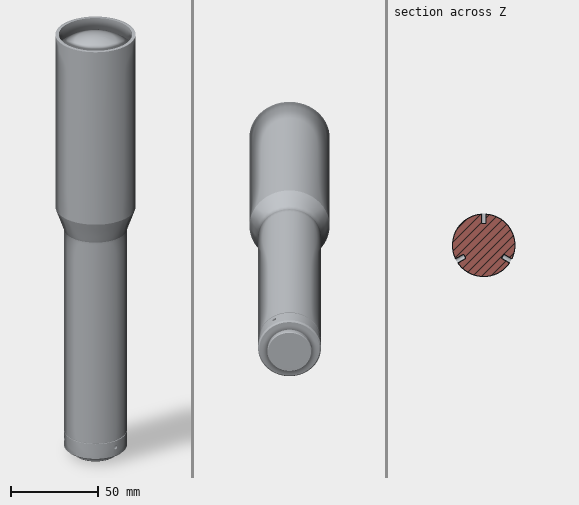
import cadquery as cq
import math

total_length = 267.0
cone_top_z = 156.8
cone_bottom_z = 142.9
groove_bottom_z = 14.0
collar_bottom_z = 3.7

head_radius = 46.0 / 2
tube_radius = 36.0 / 2
bore_radius = 42.0 / 2
bore_depth = 8.3
groove_width = 0.5
groove_depth = 0.5
collar_chamfer = 0.8

stub_radius = 25.5 / 2
stub_small_radius = 24.5 / 2
stub_chamfer = stub_radius - stub_small_radius
neck_height = 0.5

screw_hole_diameter = 2.5
screw_hole_depth = 5.3
screw_hole_z = 10.0
screw_hole_angles = (90, 210, 330)

lens_apex_depth = 0.8
lens_height = bore_depth - lens_apex_depth
bore_floor_z = total_length - bore_depth


def make_housing_blank():
    """Turned housing: stub, grooved tube, cone and a wider head with a shallow bore."""
    groove_radius = tube_radius - groove_depth
    groove_top_z = groove_bottom_z + groove_width
    neck_bottom_z = collar_bottom_z - neck_height
    return (
        cq.Workplane("XZ")
        .moveTo(0, 0)
        .lineTo(stub_small_radius, 0)
        .lineTo(stub_radius, stub_chamfer)
        .lineTo(stub_radius, neck_bottom_z)
        .lineTo(stub_small_radius, neck_bottom_z)
        .lineTo(stub_small_radius, collar_bottom_z)
        .lineTo(tube_radius - collar_chamfer, collar_bottom_z)
        .lineTo(tube_radius, collar_bottom_z + collar_chamfer)
        .lineTo(tube_radius, groove_bottom_z)
        .lineTo(groove_radius, groove_bottom_z)
        .lineTo(groove_radius, groove_top_z)
        .lineTo(tube_radius, groove_top_z)
        .lineTo(tube_radius, cone_bottom_z)
        .lineTo(head_radius, cone_top_z)
        .lineTo(head_radius, total_length)
        .lineTo(bore_radius, total_length)
        .lineTo(bore_radius, bore_floor_z)
        .lineTo(0, bore_floor_z)
        .close()
        .revolve(360, (0, 0, 0), (0, 1, 0))
    )


def make_screw_hole(angle):
    """Radial cutter that enters the side of the collar at the given angle."""
    direction = cq.Vector(math.cos(math.radians(angle)), math.sin(math.radians(angle)), 0)
    floor_center = direction * (tube_radius - screw_hole_depth) + cq.Vector(0, 0, screw_hole_z)
    return cq.Solid.makeCylinder(screw_hole_diameter / 2, 2 * screw_hole_depth, floor_center, direction)


def make_housing():
    """Housing with the radial screw holes cut into its collar."""
    body = make_housing_blank()
    for angle in screw_hole_angles:
        body = body.cut(cq.Workplane(make_screw_hole(angle)))
    return body


def make_lens():
    """Flat-bottomed spherical cap that fills the width of the bore."""
    apex_z = bore_floor_z + lens_height
    sphere_radius = (bore_radius**2 + lens_height**2) / (2 * lens_height)
    half_angle = math.asin(bore_radius / sphere_radius) / 2
    arc_middle = (
        sphere_radius * math.sin(half_angle),
        apex_z - sphere_radius * (1 - math.cos(half_angle)),
    )
    return (
        cq.Workplane("XZ")
        .moveTo(0, bore_floor_z)
        .lineTo(bore_radius, bore_floor_z)
        .threePointArc(arc_middle, (0, apex_z))
        .close()
        .revolve(360, (0, 0, 0), (0, 1, 0))
    )


housing = make_housing()
lens = make_lens()

result = cq.Compound.makeCompound([housing.val(), lens.val()])